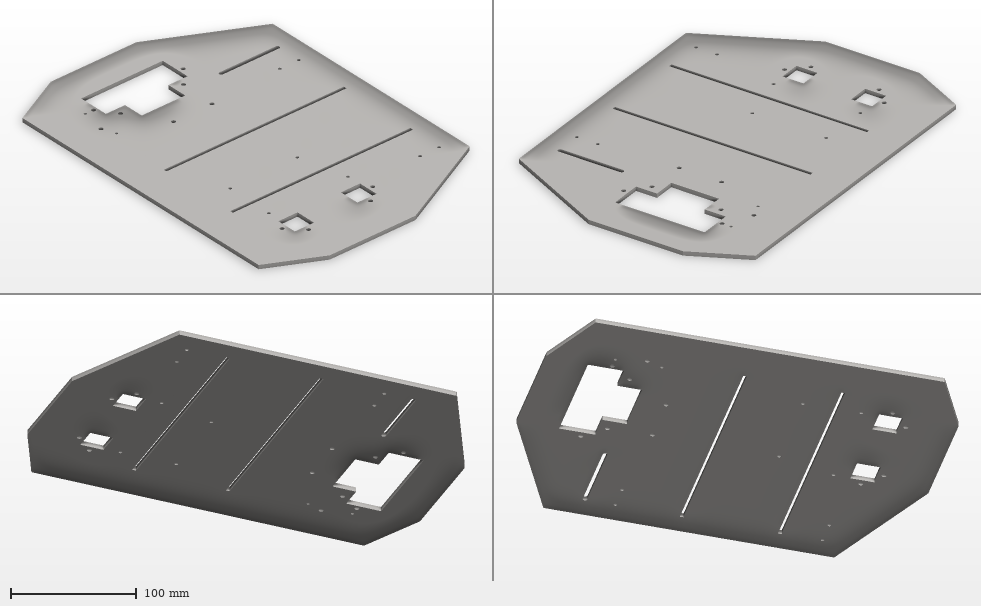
import cadquery as cq

LENGTH = 340.0
WIDTH = 242.16
THICKNESS = 4.0
BACK_EDGE_LENGTH = 240.0
FRONT_EDGE_LENGTH = 288.0
BACK_CORNER_DEPTH = 100.0
SIDE_EDGE_LENGTH = 90.0

half_length = LENGTH / 2
back_y = WIDTH / 2
front_y = -WIDTH / 2
side_top_y = back_y - BACK_CORNER_DEPTH
side_bottom_y = side_top_y - SIDE_EDGE_LENGTH
axis_y = (side_top_y + side_bottom_y) / 2

SLOT_MARGIN = 18.0
LONG_SLOT_LENGTH = 189.0
LONG_SLOT_WIDTH = 3.2
LONG_SLOT_XS = (-10.8, 70.2)
ROUND_SLOT_LENGTH = 63.0
ROUND_SLOT_WIDTH = 4.0
ROUND_SLOT_X = -91.0
slot_top_y = back_y - SLOT_MARGIN

WINDOW_SIZE = 20.0
WINDOW_OUTER_REACH = 42.8
RIGHT_WINDOW_X = 115.0
LEFT_WINDOW_MIN_X = -135.4
LEFT_WINDOW_STEP_X = -105.2
LEFT_WINDOW_MAX_X = -84.8
window_inner_reach = WINDOW_OUTER_REACH - WINDOW_SIZE

LARGE_HOLE = 4.0
MEDIUM_HOLE = 3.0
SMALL_HOLE = 2.5

LEFT_END_HOLE_X = -116.0
LEFT_END_HOLE_YS = (23.6, -70.4)
LEFT_SIDE_HOLE_X = -98.2
LEFT_SIDE_HOLE_YS = (8.5, -57.5)
RIGHT_END_HOLE_YS = (23.6, -71.6)
RIGHT_SIDE_HOLE_X = 130.0
RIGHT_SIDE_HOLE_YS = (8.5, -56.6)
window_holes = [
    (x, y)
    for x, ys in (
        (LEFT_END_HOLE_X, LEFT_END_HOLE_YS),
        (LEFT_SIDE_HOLE_X, LEFT_SIDE_HOLE_YS),
        (RIGHT_WINDOW_X, RIGHT_END_HOLE_YS),
        (RIGHT_SIDE_HOLE_X, RIGHT_SIDE_HOLE_YS),
    )
    for y in ys
]

BOARD_LEFT_X = -61.5
BOARD_LEFT_YS = (6.8, -33.5)
board_left_holes = [(BOARD_LEFT_X, y) for y in BOARD_LEFT_YS]
FRONT_CENTRE_HOLE = (ROUND_SLOT_X, -84.2)

BACK_HOLE_XS = (-65.8, 105.2)
BACK_HOLE_YS = (101.7, 81.7)
back_holes = [(x, y) for x in BACK_HOLE_XS for y in BACK_HOLE_YS]
BOARD_RIGHT_HOLES = [(43.0, 6.5), (43.0, -64.0), (91.0, 18.2), (91.0, -64.8)]

FRONT_SMALL_HOLES = [(LEFT_END_HOLE_X, -79.2), (-77.7, -79.2)]


def plate():
    """Eight-sided plate, symmetric about the YZ plane."""
    right_side = [
        (FRONT_EDGE_LENGTH / 2, front_y),
        (half_length, side_bottom_y),
        (half_length, side_top_y),
        (BACK_EDGE_LENGTH / 2, back_y),
    ]
    left_side = [(-x, y) for x, y in reversed(right_side)]
    outline = cq.Workplane("XY").polyline(right_side + left_side).close()
    return outline.extrude(THICKNESS / 2, both=True)


def cutter(sketch):
    """Turn a closed sketch on the XY plane into a through-cutting solid."""
    return sketch.extrude(THICKNESS, both=True)


def long_slots():
    """Square-ended slots running along Y."""
    centres = [(x, slot_top_y - LONG_SLOT_LENGTH / 2) for x in LONG_SLOT_XS]
    return cutter(cq.Workplane("XY").pushPoints(centres).rect(LONG_SLOT_WIDTH, LONG_SLOT_LENGTH))


def round_slot():
    """Round-ended slot running along Y."""
    sketch = cq.Workplane("XY").center(ROUND_SLOT_X, slot_top_y - ROUND_SLOT_LENGTH / 2)
    return cutter(sketch.slot2D(ROUND_SLOT_LENGTH, ROUND_SLOT_WIDTH, 90))


def right_windows():
    """Two square windows mirrored about the window axis."""
    offset = WINDOW_OUTER_REACH - WINDOW_SIZE / 2
    centres = [(RIGHT_WINDOW_X, axis_y + side * offset) for side in (1, -1)]
    return cutter(cq.Workplane("XY").pushPoints(centres).rect(WINDOW_SIZE, WINDOW_SIZE))


def left_window():
    """T-shaped window: a tall opening with a shorter step towards the middle."""
    upper_half = [
        (LEFT_WINDOW_MIN_X, axis_y + WINDOW_OUTER_REACH),
        (LEFT_WINDOW_STEP_X, axis_y + WINDOW_OUTER_REACH),
        (LEFT_WINDOW_STEP_X, axis_y + window_inner_reach),
        (LEFT_WINDOW_MAX_X, axis_y + window_inner_reach),
    ]
    lower_half = [(x, 2 * axis_y - y) for x, y in reversed(upper_half)]
    return cutter(cq.Workplane("XY").polyline(upper_half + lower_half).close())


def holes(centres, diameter):
    """Through holes of one diameter."""
    return cutter(cq.Workplane("XY").pushPoints(centres).circle(diameter / 2))


result = (
    plate()
    .cut(long_slots())
    .cut(round_slot())
    .cut(right_windows())
    .cut(left_window())
    .cut(holes(window_holes + board_left_holes + [FRONT_CENTRE_HOLE], LARGE_HOLE))
    .cut(holes(back_holes + BOARD_RIGHT_HOLES, MEDIUM_HOLE))
    .cut(holes(FRONT_SMALL_HOLES, SMALL_HOLE))
)